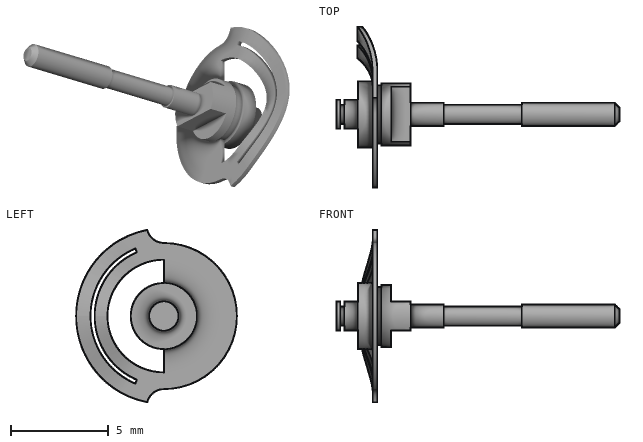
import cadquery as cq
import math

groove_start = 0.2
groove_end = 0.4
collar_start = 1.1
collar_end = 1.85
plate_thickness = 0.25
neck_end = 2.3
flats_start = 2.8
hub_end = 3.8
relief_start = 5.5
relief_end = 9.5
shaft_length = 14.5
end_chamfer = 0.25

tip_radius = 0.75
groove_radius = 0.5
collar_radius = 1.7
neck_radius = 1.5
hub_radius = 1.6
rod_radius = 0.6
relief_radius = 0.5
flats_width = 2 * tip_radius

plate_front = collar_end
plate_back = plate_front + plate_thickness
disc_radius = 3.75
rim_radius = 4.5
window_radius = 2.88
slot_inner_radius = 3.55
slot_outer_radius = 3.75
corner_radius = 0.868
corner_y = 0.845

bend_angle = 60.0
slot_angle = 67.0
curve_steps = 24
arm_rise = 0.79


def polar(radius, angle):
    """Point (Y, Z) at an angle from +Y."""
    turn = math.radians(angle)
    return (radius * math.cos(turn), radius * math.sin(turn))


def make_shaft():
    """Turned shaft with two flats milled on its hub."""
    profile = [
        (0, 0),
        (0, tip_radius),
        (groove_start, tip_radius),
        (groove_start, groove_radius),
        (groove_end, groove_radius),
        (groove_end, tip_radius),
        (collar_start, tip_radius),
        (collar_start, collar_radius),
        (collar_end, collar_radius),
        (collar_end, neck_radius),
        (neck_end, neck_radius),
        (neck_end, hub_radius),
        (hub_end, hub_radius),
        (hub_end, rod_radius),
        (relief_start, rod_radius),
        (relief_start, relief_radius),
        (relief_end, relief_radius),
        (relief_end, rod_radius),
        (shaft_length - end_chamfer, rod_radius),
        (shaft_length, rod_radius - end_chamfer),
        (shaft_length, 0),
    ]
    turned = cq.Workplane("XZ").polyline(profile).close().revolve(360, (0, 0, 0), (1, 0, 0))
    flats_length = hub_end - flats_start
    flats_plane = cq.Workplane("YZ", origin=(flats_start, 0, 0))
    sleeve = flats_plane.circle(hub_radius).extrude(flats_length)
    kept_slab = flats_plane.rect(2 * hub_radius, flats_width).extrude(flats_length)
    return turned.cut(sleeve.cut(kept_slab))


def make_flat_plate():
    """Flat part of the plate: the disc and the two roots of the arms."""
    corner_z = math.sqrt(rim_radius**2 - corner_y**2)
    half_sweep = math.asin(corner_y / corner_radius) / 2
    arc_y = corner_radius * math.sin(half_sweep)
    arc_z = disc_radius + corner_radius * (1 - math.cos(half_sweep))
    plate_plane = cq.Workplane("YZ", origin=(plate_front, 0, 0))
    outline = (
        plate_plane
        .moveTo(0, disc_radius)
        .threePointArc((arc_y, arc_z), (corner_y, corner_z))
        .threePointArc((rim_radius, 0), (corner_y, -corner_z))
        .threePointArc((arc_y, -arc_z), (0, -disc_radius))
        .threePointArc((-disc_radius, 0), (0, disc_radius))
        .close()
        .extrude(plate_thickness)
    )
    window = (
        plate_plane
        .moveTo(0, window_radius)
        .threePointArc((window_radius, 0), (0, -window_radius))
        .close()
        .extrude(plate_thickness)
    )
    slot = (
        plate_plane
        .moveTo(*polar(slot_outer_radius, slot_angle))
        .threePointArc((slot_outer_radius, 0), polar(slot_outer_radius, -slot_angle))
        .lineTo(*polar(slot_inner_radius, -slot_angle))
        .threePointArc((slot_inner_radius, 0), polar(slot_inner_radius, slot_angle))
        .close()
        .extrude(plate_thickness)
    )
    reach = 2 * rim_radius
    bent_sector = (
        plate_plane
        .polyline([(0, 0), polar(reach, bend_angle), (reach, 0), polar(reach, -bend_angle)])
        .close()
        .extrude(plate_thickness)
    )
    bore = plate_plane.circle(neck_radius).extrude(plate_thickness)
    return outline.cut(window).cut(slot).cut(bent_sector).cut(bore)


def arm_edge(radius, base_x, side):
    """Edge of an arm, from +Y (t = 0) to the bend line (t = 1), level at both ends of its S shape."""

    def point(t):
        y, z = polar(radius, side * bend_angle * t)
        drop = t * t * (3 - 2 * t)
        return (base_x - arm_rise * (1 - drop), y, z)

    return cq.Workplane("XY").parametricCurve(point, N=curve_steps, makeWire=False).edges().val()


def make_half_arm(inner_radius, outer_radius, side):
    """Half of a bent arm, from +Y round to the bend line on one side (+1 or -1 in Z)."""
    front_inner = arm_edge(inner_radius, plate_front, side)
    front_outer = arm_edge(outer_radius, plate_front, side)
    back_outer = arm_edge(outer_radius, plate_back, side)
    back_inner = arm_edge(inner_radius, plate_back, side)
    loop = [front_inner, front_outer, back_outer, back_inner]
    faces = [cq.Face.makeRuledSurface(a, b) for a, b in zip(loop, loop[1:] + loop[:1])]
    root_corners = [edge.endPoint() for edge in loop]
    crest_corners = [edge.startPoint() for edge in loop]
    for corners in (root_corners, crest_corners):
        faces.append(cq.Face.makeFromWires(cq.Wire.makePolygon(corners, close=True)))
    return cq.Workplane(cq.Solid.makeSolid(cq.Shell.makeShell(faces)))


def make_spring_plate():
    """Flat plate joined to its outer and inner bent arms."""
    plate = make_flat_plate()
    for inner, outer in ((window_radius, slot_inner_radius), (slot_outer_radius, rim_radius)):
        for side in (1, -1):
            plate = plate.union(make_half_arm(inner, outer, side))
    return plate


shaft = make_shaft()
spring_plate = make_spring_plate()
result = cq.Compound.makeCompound([shaft.solids().val(), spring_plate.solids().val()])